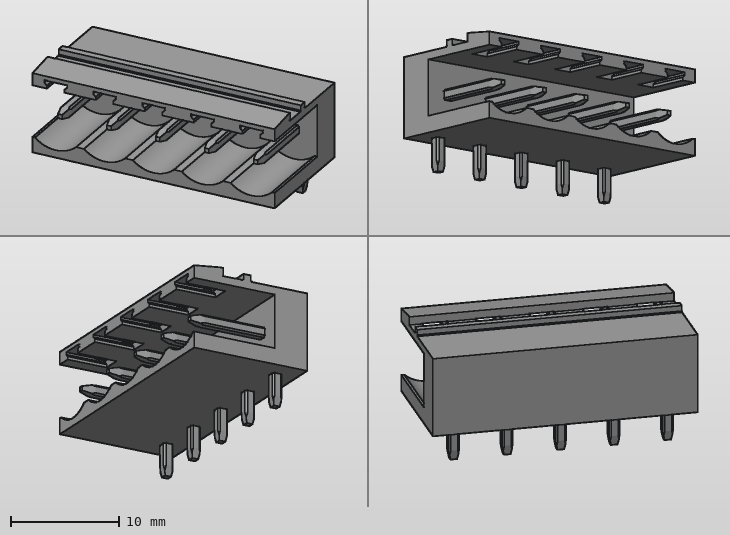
import cadquery as cq


width = 25.2
depth = 12.0
body_height = 7.69
floor_thickness = 1.6
mouth_top = 6.9
mouth_depth = 8.57

hook_back = 3.1
hook_crest = 2.77
hook_height = 8.5
hook_front_height = 8.16

rib_front = 5.25
rib_back = 6.02
rib_height = 8.32
rib_foot = 0.1

pole_count = 5
pitch = 5.1

scoop_width = 4.28
scoop_depth = 0.8
scoop_radius = (scoop_depth**2 + (scoop_width / 2) ** 2) / (2 * scoop_depth)

slot_length = 4.13
slot_neck_width = 1.85
slot_head_width = 2.37
slot_neck_top = 7.2
slot_head_start = 7.48
slot_top = 7.7

pin_size = 1.0
pin_chamfer = 0.18
contact_height = 3.85
contact_tip_y = 0.88
contact_taper = 1.29
contact_tip_size = 0.43
tail_y = 9.95
tail_length = 3.15
tail_taper = 0.95
tail_tip_size = 0.63


def pole_positions():
    """X position of each pin, from left to right."""
    first = -pitch * (pole_count - 1) / 2
    return [first + index * pitch for index in range(pole_count)]


def housing_shell():
    """C-shaped side profile with its hook and rib, run along the full width."""
    profile = [
        (0, 0),
        (depth, 0),
        (depth, body_height),
        (rib_back + rib_foot, body_height),
        (rib_back, body_height + rib_foot),
        (rib_back, rib_height),
        (rib_front, rib_height),
        (rib_front, body_height + rib_foot),
        (rib_front - rib_foot, body_height),
        (hook_back, body_height),
        (hook_back, hook_height),
        (hook_crest, hook_height),
        (0, hook_front_height),
        (0, mouth_top),
        (mouth_depth, mouth_top),
        (mouth_depth, floor_thickness),
        (0, floor_thickness),
    ]
    return cq.Workplane("YZ").polyline(profile).close().extrude(width / 2, both=True)


def floor_scoop(x):
    """Round trough running from the front edge to the back wall of the mouth."""
    axis_height = floor_thickness - scoop_depth + scoop_radius
    cylinder = (
        cq.Workplane("XZ").center(x, axis_height).circle(scoop_radius).extrude(-mouth_depth)
    )
    band = cq.Workplane("XY").box(
        scoop_width, mouth_depth, 2 * scoop_depth, centered=(True, False, True)
    )
    return cylinder.intersect(band.translate((x, 0, floor_thickness)))


def keyed_slot(x):
    """Slot with a narrow neck and a wider head, open at the front and into the mouth."""
    neck = slot_neck_width / 2
    head = slot_head_width / 2
    outline = [
        (-neck, mouth_top),
        (-neck, slot_neck_top),
        (-head, slot_head_start),
        (-head, slot_top),
        (head, slot_top),
        (head, slot_head_start),
        (neck, slot_neck_top),
        (neck, mouth_top),
    ]
    slot = cq.Workplane("XZ").polyline(outline).close().extrude(-slot_length)
    return slot.translate((x, 0, 0))


def tapered_bar(length, taper_length, tip_size):
    """Bar along +Z with chamfered long edges and four flat tapers at its far end."""
    bar = cq.Workplane("XY").rect(pin_size, pin_size).extrude(length)
    bar = bar.edges("|Z").chamfer(pin_chamfer)
    straight = length - taper_length
    envelope = cq.Workplane("XY").rect(pin_size, pin_size).extrude(straight)
    point = (
        cq.Workplane("XY", origin=(0, 0, straight))
        .rect(pin_size, pin_size)
        .workplane(offset=taper_length)
        .rect(tip_size, tip_size)
        .loft(ruled=True)
    )
    return bar.intersect(envelope.union(point))


def bent_pin(x):
    """Right-angled pin: a contact pointing forward and a tail pointing down."""
    overrun = pin_size / 2
    contact = tapered_bar(tail_y + overrun - contact_tip_y, contact_taper, contact_tip_size)
    contact = contact.rotate((0, 0, 0), (1, 0, 0), 90)
    contact = contact.translate((0, tail_y + overrun, contact_height))
    tail = tapered_bar(contact_height + tail_length, tail_taper, tail_tip_size)
    tail = tail.rotate((0, 0, 0), (1, 0, 0), 180)
    tail = tail.translate((0, tail_y, contact_height))
    return contact.union(tail).translate((x, 0, 0))


pins = [bent_pin(x) for x in pole_positions()]

housing = housing_shell()
for x in pole_positions():
    housing = housing.cut(floor_scoop(x)).cut(keyed_slot(x))
for pin in pins:
    housing = housing.cut(pin)

result = cq.Compound.makeCompound([housing.val(), *[pin.val() for pin in pins]])